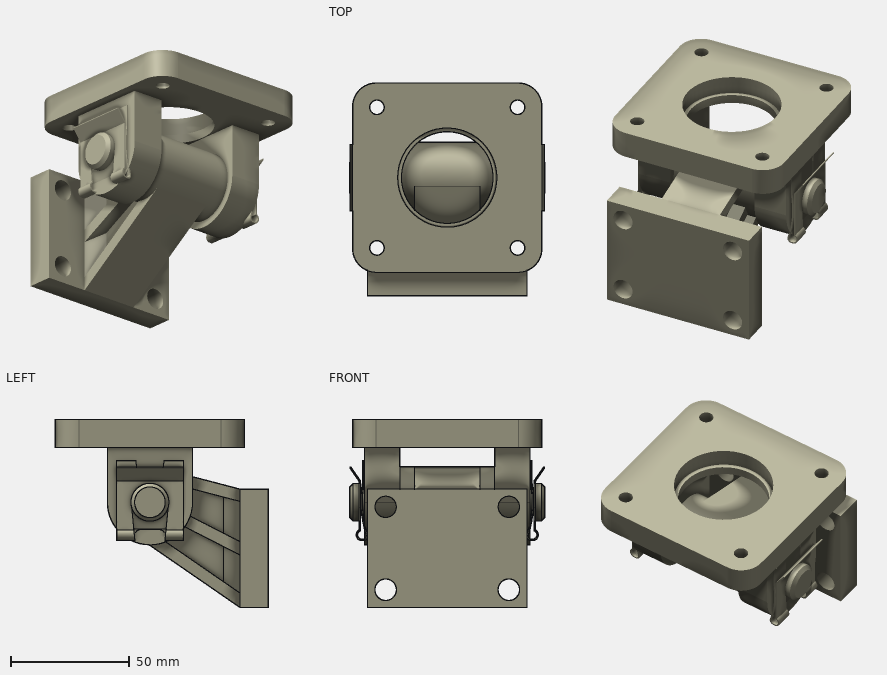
import cadquery as cq
import math


FLANGE_SIDE = 80.0
FLANGE_THICKNESS = 12.0
FLANGE_TOP = 35.0
FLANGE_CORNER_RADIUS = 10.0
FLANGE_HOLE_SPACING = 59.4
FLANGE_HOLE_DIAMETER = 6.0
BORE_DIAMETER = 38.7
COUNTERBORE_DIAMETER = 41.9
COUNTERBORE_DEPTH = 8.0
EAR_OUTER_X = 35.0
EAR_INNER_X = 20.0
EAR_RADIUS = 18.0
FLANGE_BOTTOM = FLANGE_TOP - FLANGE_THICKNESS

BARREL_RADIUS = 15.0
PLATE_WIDTH = 67.5
PLATE_HEIGHT = 50.0
PLATE_THICKNESS = 12.0
PLATE_BOTTOM = -44.5
PLATE_FRONT_Y = FLANGE_SIDE / 2 - 90.0
PLATE_HOLE_DIAMETER = 9.0
PLATE_HOLE_SPACING_X = 52.0
PLATE_HOLE_SPACING_Z = 35.0
RIB_WIDTH = 27.5
RIB_THICKNESS = 5.0
WEB_THICKNESS = 15.5
WEB_FLARE_LENGTH = 7.0
PLATE_BACK_Y = PLATE_FRONT_Y + PLATE_THICKNESS
PLATE_TOP = PLATE_BOTTOM + PLATE_HEIGHT
PLATE_MIDDLE_Z = PLATE_BOTTOM + PLATE_HEIGHT / 2

PIN_LENGTH = 82.5
PIN_RADIUS = 8.0
PIN_CHAMFER = 1.5
GROOVE_RADIUS = 5.5
GROOVE_OUTER_X = 36.6

CLIP_WIDTH = 28.2
CLIP_THICKNESS = 0.6
LIP_TIP = (40.9, 14.6)
OUTER_LEAF_X = 37.0
OUTER_LEAF_TOP = 9.0
OUTER_LEAF_BOTTOM = -11.9
CURL_SIDE = (38.2, -13.8)
CURL_BOTTOM = (36.5, -15.8)
TAIL_BOTTOM = (35.1, -15.8)
TAIL_SIDE = (34.2, -15.2)
BOW_BOTTOM = (33.9, -13.9)
BOW_CREST = (36.2, 0.6)
INNER_LEAF_X = 35.55
BOW_TOP = 8.1
INNER_LEAF_TOP = 17.3
RELEASE_TOP_HALF_WIDTH = 7.9
RELEASE_BOTTOM_HALF_WIDTH = 6.3
RELEASE_BOTTOM = -16.65
RELEASE_INNER_END = -11.5
RELEASE_CORNER_RADIUS = 2.7
MOUTH_BOTTOM = 13.95
MOUTH_TOP_HALF_WIDTH = 5.9
LEAF_SPLIT_X = 36.6


def x_cylinder(radius, x_start, x_end):
    """Cylinder about the hinge axis."""
    return cq.Workplane("YZ").workplane(offset=x_start).circle(radius).extrude(x_end - x_start)


def make_flange():
    """Square plate with rounded corners, four bolt holes and a stepped bore."""
    return (
        cq.Workplane("XY")
        .workplane(offset=FLANGE_BOTTOM)
        .rect(FLANGE_SIDE, FLANGE_SIDE)
        .extrude(FLANGE_THICKNESS)
        .edges("|Z")
        .fillet(FLANGE_CORNER_RADIUS)
        .faces(">Z")
        .workplane()
        .cboreHole(BORE_DIAMETER, COUNTERBORE_DIAMETER, COUNTERBORE_DEPTH)
        .faces(">Z")
        .workplane()
        .rect(FLANGE_HOLE_SPACING, FLANGE_HOLE_SPACING, forConstruction=True)
        .vertices()
        .hole(FLANGE_HOLE_DIAMETER)
    )


def make_ear(x_start):
    """Hanging lug with a full-round lower end."""
    return (
        cq.Workplane("YZ")
        .workplane(offset=x_start)
        .moveTo(-EAR_RADIUS, FLANGE_BOTTOM)
        .lineTo(-EAR_RADIUS, 0)
        .threePointArc((0, -EAR_RADIUS), (EAR_RADIUS, 0))
        .lineTo(EAR_RADIUS, FLANGE_BOTTOM)
        .close()
        .extrude(EAR_OUTER_X - EAR_INNER_X)
    )


def make_fork(clips):
    """Flange and ears, with the pin bore and the seats into which the clip tails press."""
    fork = make_flange()
    for x_start in (-EAR_OUTER_X, EAR_INNER_X):
        fork = fork.union(make_ear(x_start))
    fork = fork.cut(x_cylinder(PIN_RADIUS, -EAR_OUTER_X, EAR_OUTER_X))
    for clip in clips:
        fork = fork.cut(clip)
    return fork


def barrel_tangent_point(y, z, side):
    """Point where the line from (y, z) touches the barrel; side is 1 above the axis, -1 below."""
    direction = math.atan2(z, y)
    spread = math.acos(BARREL_RADIUS / math.hypot(y, z))
    angle = direction - side * spread
    return BARREL_RADIUS * math.cos(angle), BARREL_RADIUS * math.sin(angle)


def make_arm_envelope(upper_tangent, lower_tangent):
    """Solid block of rib width, bounded by the barrel tangents and the back of the plate."""
    return (
        cq.Workplane("YZ")
        .polyline(
            [
                (0, 0),
                upper_tangent,
                (PLATE_BACK_Y, PLATE_TOP),
                (PLATE_BACK_Y, PLATE_BOTTOM),
                lower_tangent,
            ]
        )
        .close()
        .extrude(RIB_WIDTH / 2, both=True)
    )


def make_rib(start, end, thickness):
    """Long flat rib centred on the line through start and end."""
    middle_y = (start[0] + end[0]) / 2
    middle_z = (start[1] + end[1]) / 2
    slope = math.degrees(math.atan2(start[1] - end[1], start[0] - end[0]))
    length = math.hypot(start[0] - end[0], start[1] - end[1]) + PLATE_THICKNESS
    return (
        cq.Workplane("XY")
        .box(RIB_WIDTH, length, thickness)
        .rotate((0, 0, 0), (1, 0, 0), slope)
        .translate((0, middle_y, middle_z))
    )


def make_ribs(upper_tangent, lower_tangent):
    """Ribs along both tangents and from the hinge axis to the middle of the plate.

    The outer ribs are centred on the tangents at double thickness; the envelope trims their outer half.
    """
    upper_rib = make_rib(upper_tangent, (PLATE_BACK_Y, PLATE_TOP), 2 * RIB_THICKNESS)
    middle_rib = make_rib((0, 0), (PLATE_BACK_Y, PLATE_MIDDLE_Z), RIB_THICKNESS)
    lower_rib = make_rib(lower_tangent, (PLATE_BACK_Y, PLATE_BOTTOM), 2 * RIB_THICKNESS)
    return upper_rib.union(middle_rib).union(lower_rib)


def make_web():
    """Upright web that flares to the rib width at the plate."""
    flare_start_y = PLATE_BACK_Y + WEB_FLARE_LENGTH
    return (
        cq.Workplane("XY")
        .workplane(offset=PLATE_BOTTOM)
        .polyline(
            [
                (-WEB_THICKNESS / 2, 0),
                (-WEB_THICKNESS / 2, flare_start_y),
                (-RIB_WIDTH / 2, PLATE_BACK_Y),
                (RIB_WIDTH / 2, PLATE_BACK_Y),
                (WEB_THICKNESS / 2, flare_start_y),
                (WEB_THICKNESS / 2, 0),
            ]
        )
        .close()
        .extrude(FLANGE_TOP - PLATE_BOTTOM)
    )


def make_mounting_plate():
    """Upright plate, still without its bolt holes."""
    return (
        cq.Workplane("XZ", origin=(0, PLATE_BACK_Y, PLATE_MIDDLE_Z))
        .rect(PLATE_WIDTH, PLATE_HEIGHT)
        .extrude(PLATE_THICKNESS)
    )


def make_plate_holes():
    """The four bolt holes through the mounting plate, as cylinders to cut."""
    return (
        cq.Workplane("XZ", origin=(0, PLATE_BACK_Y, PLATE_MIDDLE_Z))
        .rect(PLATE_HOLE_SPACING_X, PLATE_HOLE_SPACING_Z, forConstruction=True)
        .vertices()
        .circle(PLATE_HOLE_DIAMETER / 2)
        .extrude(PLATE_THICKNESS)
    )


def make_arm():
    """Barrel on the pin, joined to the mounting plate by three ribs and a web."""
    upper_tangent = barrel_tangent_point(PLATE_BACK_Y, PLATE_TOP, 1)
    lower_tangent = barrel_tangent_point(PLATE_BACK_Y, PLATE_BOTTOM, -1)
    ribs_and_web = make_ribs(upper_tangent, lower_tangent).union(make_web())
    ribs_and_web = ribs_and_web.intersect(make_arm_envelope(upper_tangent, lower_tangent))

    arm = x_cylinder(BARREL_RADIUS, -EAR_INNER_X, EAR_INNER_X)
    arm = arm.union(make_mounting_plate()).union(ribs_and_web)
    arm = arm.cut(x_cylinder(PIN_RADIUS, -EAR_INNER_X, EAR_INNER_X))
    return arm.cut(make_plate_holes())


def make_pin():
    """Chamfered rod with a clip groove outside each ear."""
    half_length = PIN_LENGTH / 2
    pin = x_cylinder(PIN_RADIUS, -half_length, half_length).faces("<X or >X").chamfer(PIN_CHAMFER)
    groove = x_cylinder(PIN_RADIUS, EAR_OUTER_X, GROOVE_OUTER_X).cut(
        x_cylinder(GROOVE_RADIUS, EAR_OUTER_X, GROOVE_OUTER_X)
    )
    return pin.cut(groove).cut(groove.mirror("YZ"))


def make_clip_strip():
    """Folded spring strip: flared lip, outer leaf, bottom curl and bowed inner leaf."""
    return (
        cq.Workplane("XZ")
        .moveTo(*LIP_TIP)
        .lineTo(OUTER_LEAF_X, OUTER_LEAF_TOP)
        .lineTo(OUTER_LEAF_X, OUTER_LEAF_BOTTOM)
        .threePointArc(CURL_SIDE, CURL_BOTTOM)
        .lineTo(*TAIL_BOTTOM)
        .threePointArc(TAIL_SIDE, BOW_BOTTOM)
        .threePointArc(BOW_CREST, (INNER_LEAF_X, BOW_TOP))
        .lineTo(INNER_LEAF_X, INNER_LEAF_TOP)
        .offset2D(CLIP_THICKNESS / 2)
        .extrude(CLIP_WIDTH / 2, both=True)
    )


def make_release_slot(top):
    """Tapered slot that narrows downward and cuts the curl into two."""
    taper = (RELEASE_TOP_HALF_WIDTH - RELEASE_BOTTOM_HALF_WIDTH) / -RELEASE_BOTTOM
    top_half_width = RELEASE_TOP_HALF_WIDTH + taper * top
    return (
        cq.Workplane("YZ")
        .moveTo(-top_half_width, top)
        .lineTo(top_half_width, top)
        .lineTo(RELEASE_BOTTOM_HALF_WIDTH, RELEASE_BOTTOM)
        .lineTo(-RELEASE_BOTTOM_HALF_WIDTH, RELEASE_BOTTOM)
        .close()
        .extrude(PIN_LENGTH / 2)
    )


def make_groove_slot():
    """Slot in the inner leaf: round below the pin, open and flared at the top."""
    return (
        cq.Workplane("YZ")
        .moveTo(-GROOVE_RADIUS, 0)
        .threePointArc((0, -GROOVE_RADIUS), (GROOVE_RADIUS, 0))
        .lineTo(GROOVE_RADIUS, MOUTH_BOTTOM)
        .lineTo(MOUTH_TOP_HALF_WIDTH, INNER_LEAF_TOP)
        .lineTo(MOUTH_TOP_HALF_WIDTH, INNER_LEAF_TOP + CLIP_THICKNESS)
        .lineTo(-MOUTH_TOP_HALF_WIDTH, INNER_LEAF_TOP + CLIP_THICKNESS)
        .lineTo(-MOUTH_TOP_HALF_WIDTH, INNER_LEAF_TOP)
        .lineTo(-GROOVE_RADIUS, MOUTH_BOTTOM)
        .close()
        .extrude(LEAF_SPLIT_X)
    )


def make_clip():
    """Clip for the +X end: its inner leaf sits in the pin groove, its outer leaf around the pin end."""
    outer_release = make_release_slot(0).union(x_cylinder(PIN_RADIUS, 0, PIN_LENGTH / 2))
    outer_release = outer_release.intersect(
        cq.Workplane("XY").box(PIN_LENGTH, PIN_LENGTH, PIN_LENGTH).translate(
            (LEAF_SPLIT_X + PIN_LENGTH / 2, 0, 0)
        )
    )
    inner_release = make_release_slot(RELEASE_INNER_END)
    inner_release = inner_release.edges("|X and >Z").fillet(RELEASE_CORNER_RADIUS)
    return make_clip_strip().cut(outer_release).cut(inner_release).cut(make_groove_slot())


right_clip = make_clip()
clips = [right_clip, right_clip.mirror("YZ")]
fork = make_fork(clips)
arm = make_arm()
pin = make_pin()

bodies = [fork, arm, pin, *clips]

result = cq.Compound.makeCompound([body.solids().val() for body in bodies])